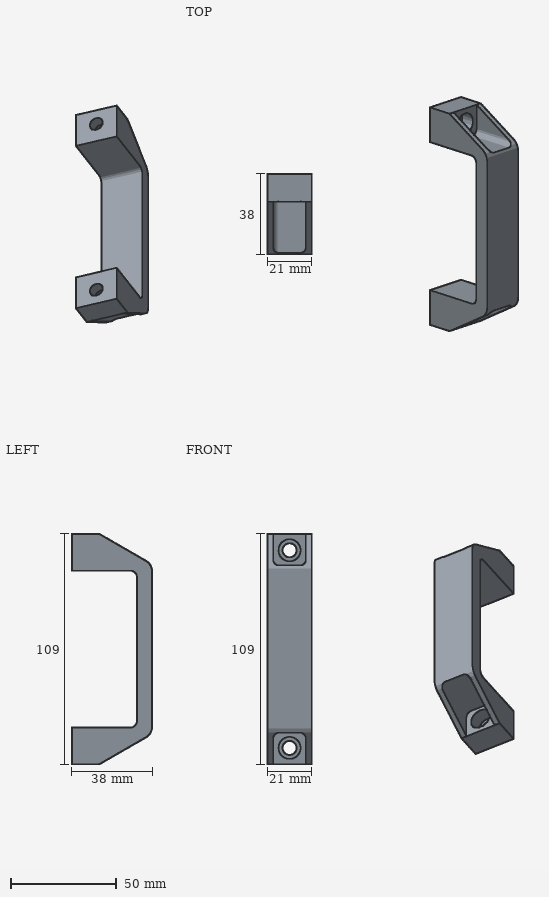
import cadquery as cq
import math

width = 21.0
depth = 38.0
length = 109.0

foot_thickness = 17.4
grip_thickness = 7.3
foot_flat = 13.1
slope_angle = 30.0
outer_radius = 6.0
inner_radius = 3.0

pocket_width = 15.5
pocket_height = 14.9
pocket_radius = 2.8
hole_inset = 7.7
hole_diameter = 6.5
counterbore_diameter = 10.5
counterbore_depth = 7.0

half_length = length / 2
floor_y = depth - foot_flat
slope_drop = floor_y * math.tan(math.radians(slope_angle))


def make_body():
    """Bracket-shaped side profile extruded across the width."""
    corner_z = half_length - slope_drop
    inner_z = half_length - foot_thickness
    profile = [
        (depth, half_length),
        (floor_y, half_length),
        (0, corner_z),
        (0, -corner_z),
        (floor_y, -half_length),
        (depth, -half_length),
        (depth, -inner_z),
        (grip_thickness, -inner_z),
        (grip_thickness, inner_z),
        (depth, inner_z),
    ]
    body = cq.Workplane("YZ").polyline(profile).close().extrude(width / 2, both=True)
    body = body.edges("|X").edges("<Y").fillet(outer_radius)
    margin = 1.1
    inner_corners = cq.selectors.BoxSelector(
        (-width, grip_thickness - margin, -inner_z - margin),
        (width, grip_thickness + margin, inner_z + margin),
    )
    return body.edges("|X").edges(inner_corners).fillet(inner_radius)


def make_recess():
    """Cutter for the upper foot: open pocket, counterbore and through hole."""
    pocket = (
        cq.Workplane("XY")
        .box(pocket_width, floor_y, pocket_height, centered=(True, False, False))
        .edges("|Y and <Z")
        .fillet(pocket_radius)
        .translate((0, 0, half_length - pocket_height))
    )
    hole_center = cq.Vector(0, floor_y, half_length - hole_inset)
    along_y = cq.Vector(0, 1, 0)
    counterbore = cq.Solid.makeCylinder(
        counterbore_diameter / 2, counterbore_depth, hole_center, along_y
    )
    hole = cq.Solid.makeCylinder(hole_diameter / 2, foot_flat, hole_center, along_y)
    return pocket.union(cq.Workplane(counterbore)).union(cq.Workplane(hole))


upper_recess = make_recess()
lower_recess = upper_recess.mirror("XY")
result = make_body().cut(upper_recess).cut(lower_recess)